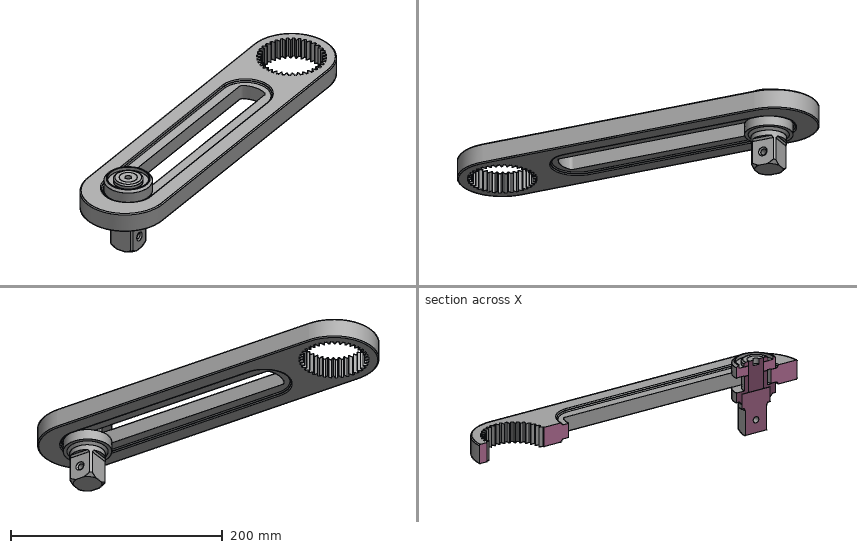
import cadquery as cq
import math


LEVER_LENGTH = 371.0
LEVER_WIDTH = 85.0
LEVER_THICKNESS = 20.0
LEVER_BOTTOM = 43.5
LEVER_CHAMFER = 1.0
LEVER_TOP = LEVER_BOTTOM + LEVER_THICKNESS
END_CENTER_Y = (LEVER_LENGTH - LEVER_WIDTH) / 2

TOOTH_COUNT = 36
TOOTH_ROOT_RADIUS = 33.0
TOOTH_TIP_RADIUS = 29.3
TOOTH_TIP_SHARE = 0.1
TOOTH_GAP_SHARE = 0.35

DRIVE_Y = -137.3
SLOT_FAR_Y = 63.8
SLOT_HALF_WIDTH = 14.0
SLOT_END_GAP = 9.0
SLOT_END_RADIUS = 26.0
SLOT_CORNER_RADIUS = 3.7
TRACK_RADIUS = 25.2
TRACK_DEPTH = 2.5
TRACK_CHAMFER = 1.0
TRACK_FLOOR_LOW = LEVER_BOTTOM + TRACK_DEPTH
TRACK_FLOOR_HIGH = LEVER_TOP - TRACK_DEPTH

SQUARE_WIDTH = 25.5
SQUARE_END_CHAMFER = 3.5
SQUARE_FLARE = 1.0
FLARE_START = 25.5
COLLAR_BOTTOM = 28.0
COLLAR_DIAMETER = 33.8
COLLAR_RADIUS = COLLAR_DIAMETER / 2
DETENT_RADIUS = 3.0
DETENT_COUNTERSINK = 1.5
DETENT_HEIGHT = 13.5

DISC_RADIUS = 23.0
LOWER_DISC_BOTTOM = 35.5
BOSS_HEIGHT = 2.5
BOSS_RADIUS = COLLAR_RADIUS + BOSS_HEIGHT
NECK_RADIUS = 13.7
UPPER_DISC_TOP = 74.0
UPPER_DISC_CHAMFER = 2.2
POCKET_RADIUS = 19.5
POCKET_FLOOR = 70.5

NUT_RADIUS = 14.0
NUT_CHAMFER = 1.5
NUT_TOP = 75.0
PIN_RADIUS = 8.5
CENTER_HOLE_RADIUS = 3.0
CENTER_HOLE_DEPTH = 5.5


def cylinder(radius, bottom, top):
    """Cylinder on the drive axis between two heights."""
    return cq.Workplane(origin=(0, DRIVE_Y, bottom)).circle(radius).extrude(top - bottom)


def track_outline(radius, height):
    """Rounded outline around the full travel of the drive axis."""
    travel = SLOT_FAR_Y - DRIVE_Y
    middle_y = (SLOT_FAR_Y + DRIVE_Y) / 2
    return cq.Workplane(origin=(0, middle_y, height)).slot2D(travel + 2 * radius, 2 * radius, 90)


def make_track(face_height, inward):
    """Track recess with a chamfered rim and floor edge; inward is +1 or -1 along Z, into the lever."""
    rim = track_outline(TRACK_RADIUS + TRACK_CHAMFER, face_height).extrude(inward * TRACK_CHAMFER, taper=45)
    wall_depth = TRACK_DEPTH - TRACK_CHAMFER
    wall = track_outline(TRACK_RADIUS, face_height).extrude(inward * wall_depth)
    floor_height = face_height + inward * wall_depth
    floor = track_outline(TRACK_RADIUS, floor_height).extrude(inward * TRACK_CHAMFER, taper=45)
    return rim.union(wall).union(floor)


def make_slot():
    """Through slot with straight sides, shallow arcs at both ends and rounded corners."""
    rim_radius = TRACK_RADIUS + TRACK_CHAMFER
    far_end = SLOT_FAR_Y + rim_radius - SLOT_END_GAP
    near_end = DRIVE_Y - rim_radius + SLOT_END_GAP
    arc_rise = SLOT_END_RADIUS - math.sqrt(SLOT_END_RADIUS**2 - SLOT_HALF_WIDTH**2)
    outline = (
        cq.Workplane(origin=(0, 0, LEVER_BOTTOM))
        .moveTo(-SLOT_HALF_WIDTH, near_end + arc_rise)
        .threePointArc((0, near_end), (SLOT_HALF_WIDTH, near_end + arc_rise))
        .lineTo(SLOT_HALF_WIDTH, far_end - arc_rise)
        .threePointArc((0, far_end), (-SLOT_HALF_WIDTH, far_end - arc_rise))
        .close()
    )
    return outline.extrude(LEVER_THICKNESS).edges("|Z").fillet(SLOT_CORNER_RADIUS)


def make_toothed_hole():
    """Hole cutter with straight-sided internal teeth; a root gap lies on the +X direction."""
    pitch = 2 * math.pi / TOOTH_COUNT
    half_gap = pitch * TOOTH_GAP_SHARE / 2
    half_tip = pitch * TOOTH_TIP_SHARE / 2
    points = []
    for index in range(TOOTH_COUNT):
        gap_angle = index * pitch
        tip_angle = gap_angle + pitch / 2
        corners = [
            (TOOTH_ROOT_RADIUS, gap_angle - half_gap),
            (TOOTH_ROOT_RADIUS, gap_angle + half_gap),
            (TOOTH_TIP_RADIUS, tip_angle - half_tip),
            (TOOTH_TIP_RADIUS, tip_angle + half_tip),
        ]
        points += [(radius * math.cos(angle), radius * math.sin(angle)) for radius, angle in corners]
    plane = cq.Workplane(origin=(0, END_CENTER_Y, LEVER_BOTTOM))
    return plane.polyline(points).close().extrude(LEVER_THICKNESS)


def make_lever():
    """Flat bar with round ends, a toothed hole and a tracked slot."""
    bar = cq.Workplane(origin=(0, 0, LEVER_BOTTOM)).slot2D(LEVER_LENGTH, LEVER_WIDTH, 90)
    bar = bar.extrude(LEVER_THICKNESS).faces("|Z").chamfer(LEVER_CHAMFER)
    bar = bar.cut(make_toothed_hole()).cut(make_slot())
    return bar.cut(make_track(LEVER_TOP, -1)).cut(make_track(LEVER_BOTTOM, 1))


def make_square_shank():
    """Square shank flared under the collar, its corners turned to the collar radius and its end chamfered."""
    shank = cq.Workplane(origin=(0, DRIVE_Y, 0)).rect(SQUARE_WIDTH, SQUARE_WIDTH).extrude(COLLAR_BOTTOM)
    flared_width = SQUARE_WIDTH + 2 * SQUARE_FLARE
    flare = (
        cq.Workplane(origin=(0, DRIVE_Y, FLARE_START))
        .rect(SQUARE_WIDTH, SQUARE_WIDTH)
        .workplane(offset=COLLAR_BOTTOM - FLARE_START)
        .rect(flared_width, flared_width)
        .loft(ruled=True)
    )
    turned = cylinder(COLLAR_RADIUS, 0, COLLAR_BOTTOM).faces("<Z").chamfer(SQUARE_END_CHAMFER)
    return shank.union(flare).intersect(turned)


def make_detent_hole():
    """Cross hole along X, countersunk at both faces of the square."""
    half_width = SQUARE_WIDTH / 2
    mouth_radius = DETENT_RADIUS + DETENT_COUNTERSINK
    step = half_width - DETENT_COUNTERSINK
    profile = [
        (-half_width, 0),
        (-half_width, mouth_radius),
        (-step, DETENT_RADIUS),
        (step, DETENT_RADIUS),
        (half_width, mouth_radius),
        (half_width, 0),
    ]
    plane = cq.Workplane("XY", origin=(0, DRIVE_Y, DETENT_HEIGHT))
    return plane.polyline(profile).close().revolve(360, (0, 0, 0), (1, 0, 0))


def make_drive():
    """Square shank and the collar that seats in the lower disc."""
    collar = cylinder(COLLAR_RADIUS, COLLAR_BOTTOM, LEVER_BOTTOM)
    return collar.union(make_square_shank()).cut(make_detent_hole())


def make_lower_disc():
    """Disc in the lower track, with a neck through the slot and a conical boss around the collar."""
    disc = cylinder(DISC_RADIUS, LOWER_DISC_BOTTOM, TRACK_FLOOR_LOW)
    neck = cylinder(NECK_RADIUS, TRACK_FLOOR_LOW, TRACK_FLOOR_HIGH)
    boss_plane = cq.Workplane(origin=(0, DRIVE_Y, LOWER_DISC_BOTTOM))
    boss = boss_plane.circle(BOSS_RADIUS).extrude(-BOSS_HEIGHT, taper=45)
    socket = cylinder(COLLAR_RADIUS, LOWER_DISC_BOTTOM - BOSS_HEIGHT, LEVER_BOTTOM)
    bore = cylinder(PIN_RADIUS, LEVER_BOTTOM, TRACK_FLOOR_HIGH)
    return disc.union(neck).union(boss).cut(socket).cut(bore)


def make_upper_disc():
    """Disc in the upper track, with a chamfered rim and a pocket for the nut."""
    disc = cylinder(DISC_RADIUS, TRACK_FLOOR_HIGH, UPPER_DISC_TOP).faces(">Z").chamfer(UPPER_DISC_CHAMFER)
    pocket = cylinder(POCKET_RADIUS, POCKET_FLOOR, UPPER_DISC_TOP)
    bore = cylinder(PIN_RADIUS, TRACK_FLOOR_HIGH, POCKET_FLOOR)
    return disc.cut(pocket).cut(bore)


def make_nut():
    """Round nut with a chamfered top edge, seated on the pocket floor."""
    nut = cylinder(NUT_RADIUS, POCKET_FLOOR, NUT_TOP).faces(">Z").chamfer(NUT_CHAMFER)
    return nut.cut(cylinder(PIN_RADIUS, POCKET_FLOOR, NUT_TOP))


def make_pin():
    """Pin from the top of the drive to the top of the nut, with a blind center hole."""
    pin = cylinder(PIN_RADIUS, LEVER_BOTTOM, NUT_TOP)
    return pin.cut(cylinder(CENTER_HOLE_RADIUS, NUT_TOP - CENTER_HOLE_DEPTH, NUT_TOP))


lever = make_lever()
drive = make_drive()
lower_disc = make_lower_disc()
upper_disc = make_upper_disc()
nut = make_nut()
pin = make_pin()

result = cq.Compound.makeCompound([
    lever.val(),
    drive.val(),
    lower_disc.val(),
    upper_disc.val(),
    nut.val(),
    pin.val(),
])